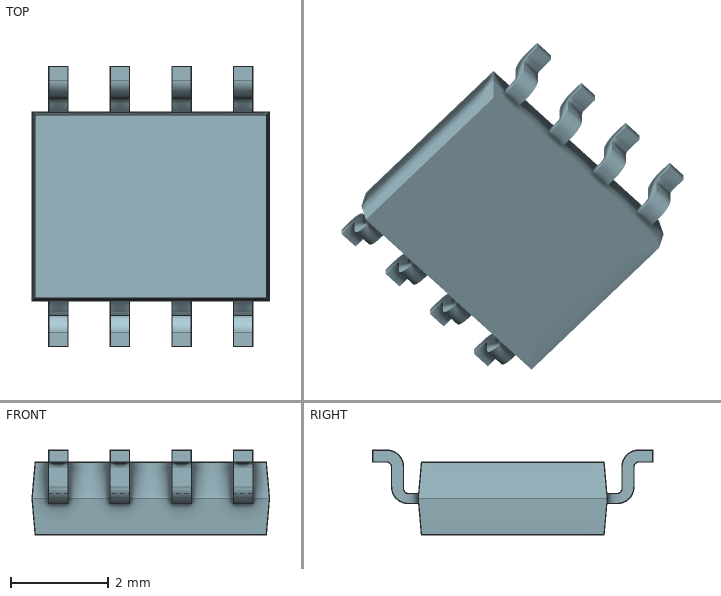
import cadquery as cq
import math

BODY_LENGTH = 4.9
BODY_WIDTH = 3.9
BODY_HEIGHT = 1.5
PARTING_HEIGHT = BODY_HEIGHT / 2
DRAFT_ANGLE = 5.0

LEADS_PER_SIDE = 4
LEAD_PITCH = 1.27
LEAD_WIDTH = 0.4
LEAD_SPAN = 5.78
FOOT_TOP = 1.75
LEAD_THICKNESS = 0.25
SHANK_THICKNESS = 0.21
SHANK_BOTTOM = PARTING_HEIGHT - SHANK_THICKNESS / 2
RISER_OUTER_Y = 2.5
LEAD_EMBED = 0.2
BEND_OUTER_RADIUS = 0.345
BEND_INNER_RADIUS = 0.1


def make_body_half(direction):
    """Half of the body, tapering away from the parting plane (+1 up, -1 down)."""
    half_height = BODY_HEIGHT / 2
    inset = half_height * math.tan(math.radians(DRAFT_ANGLE))
    return (
        cq.Workplane("XY")
        .workplane(offset=PARTING_HEIGHT)
        .rect(BODY_LENGTH, BODY_WIDTH)
        .workplane(offset=direction * half_height)
        .rect(BODY_LENGTH - 2 * inset, BODY_WIDTH - 2 * inset)
        .loft(ruled=True)
    )


def bend_point(center_y, center_z, radius, y_sign, z_sign):
    """Middle point of a quarter-circle bend about the given center."""
    reach = radius * math.sqrt(0.5)
    return (center_y + y_sign * reach, center_z + z_sign * reach)


def make_lead(x_center):
    """Lead on the +Y side: shank out of the body, riser, then outward foot."""
    root_y = BODY_WIDTH / 2 - LEAD_EMBED
    tip_y = LEAD_SPAN / 2
    riser_inner_y = RISER_OUTER_Y - LEAD_THICKNESS
    shank_top = SHANK_BOTTOM + SHANK_THICKNESS
    foot_bottom = FOOT_TOP - LEAD_THICKNESS

    low_out_y = RISER_OUTER_Y - BEND_OUTER_RADIUS
    low_out_z = SHANK_BOTTOM + BEND_OUTER_RADIUS
    low_in_y = riser_inner_y - BEND_INNER_RADIUS
    low_in_z = shank_top + BEND_INNER_RADIUS
    up_in_y = RISER_OUTER_Y + BEND_INNER_RADIUS
    up_in_z = foot_bottom - BEND_INNER_RADIUS
    up_out_y = riser_inner_y + BEND_OUTER_RADIUS
    up_out_z = FOOT_TOP - BEND_OUTER_RADIUS

    return (
        cq.Workplane("YZ")
        .workplane(offset=x_center - LEAD_WIDTH / 2)
        .moveTo(root_y, SHANK_BOTTOM)
        .lineTo(low_out_y, SHANK_BOTTOM)
        .threePointArc(
            bend_point(low_out_y, low_out_z, BEND_OUTER_RADIUS, 1, -1),
            (RISER_OUTER_Y, low_out_z),
        )
        .lineTo(RISER_OUTER_Y, up_in_z)
        .threePointArc(
            bend_point(up_in_y, up_in_z, BEND_INNER_RADIUS, -1, 1),
            (up_in_y, foot_bottom),
        )
        .lineTo(tip_y, foot_bottom)
        .lineTo(tip_y, FOOT_TOP)
        .lineTo(up_out_y, FOOT_TOP)
        .threePointArc(
            bend_point(up_out_y, up_out_z, BEND_OUTER_RADIUS, -1, 1),
            (riser_inner_y, up_out_z),
        )
        .lineTo(riser_inner_y, low_in_z)
        .threePointArc(
            bend_point(low_in_y, low_in_z, BEND_INNER_RADIUS, 1, -1),
            (low_in_y, shank_top),
        )
        .lineTo(root_y, shank_top)
        .close()
        .extrude(LEAD_WIDTH)
    )


result = make_body_half(1).union(make_body_half(-1))
for index in range(LEADS_PER_SIDE):
    lead = make_lead((index - (LEADS_PER_SIDE - 1) / 2) * LEAD_PITCH)
    result = result.union(lead).union(lead.mirror("XZ"))